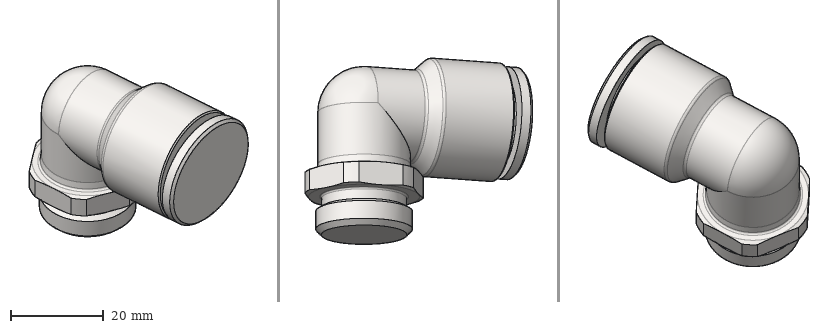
import cadquery as cq
import math


overall_length = 47

elbow_radius = 10.0

leg_bottom_z = -11.45
swivel_ring_z = -13.0
swivel_ring_radius = 10.25
swivel_flare = 0.45

hex_top_z = swivel_ring_z - swivel_flare
hex_height = 5.08
hex_bottom_z = hex_top_z - hex_height
hex_inradius = 12.0
hex_corner_radius = 12.95
hex_corner_chamfer_height = 0.3

thread_length = 8.4
thread_bottom_z = hex_bottom_z - thread_length
thread_radius = 10.45
thread_bottom_chamfer = 1.2
relief_radius = 9.15
relief_fillet = 0.38
relief_end_z = -21.05
thread_top_z = -21.8

socket_radius = 12.85
cone_start_x = 11.0
cone_end_x = 14.1
cone_fillet = 1.0
socket_end_x = 30.05
socket_edge_chamfer = 0.35

collar_stem_radius = 9.5
collar_start_x = 31.4
collar_end_x = overall_length - hex_corner_radius
collar_half_width = 13.5
collar_half_height = 12.1
collar_edge_chamfer = 0.6


def make_upright_leg():
    """Leg from the elbow centre to the hexagon, with the flared swivel ring."""
    profile = (
        cq.Workplane("XZ")
        .moveTo(0, 0)
        .lineTo(elbow_radius, 0)
        .lineTo(elbow_radius, leg_bottom_z)
        .lineTo(swivel_ring_radius, swivel_ring_z)
        .radiusArc((swivel_ring_radius + swivel_flare, hex_top_z), -swivel_flare)
        .lineTo(0, hex_top_z)
        .close()
    )
    return profile.revolve(360, (0, 0), (0, 1))


def make_hexagon():
    """Hexagon with flats facing +Y and -Y, its corners turned round and chamfered."""
    hexagon = (
        cq.Workplane("XY")
        .workplane(offset=hex_bottom_z)
        .polygon(6, 2 * hex_inradius / math.cos(math.pi / 6))
        .extrude(hex_height)
    )
    corner_chamfer_width = hex_corner_radius - hex_inradius
    turned_blank = (
        cq.Workplane("XY")
        .workplane(offset=hex_bottom_z)
        .circle(hex_corner_radius)
        .extrude(hex_height)
        .faces("<Z or >Z")
        .chamfer(hex_corner_chamfer_height, corner_chamfer_width)
    )
    return hexagon.intersect(turned_blank)


def make_threaded_end():
    """Thread envelope with a relief groove under the hexagon and a chamfered tip."""
    profile = (
        cq.Workplane("XZ")
        .moveTo(0, hex_bottom_z)
        .lineTo(relief_radius + relief_fillet, hex_bottom_z)
        .radiusArc((relief_radius, hex_bottom_z - relief_fillet), -relief_fillet)
        .lineTo(relief_radius, relief_end_z)
        .lineTo(thread_radius, thread_top_z)
        .lineTo(thread_radius, thread_bottom_z + thread_bottom_chamfer)
        .lineTo(thread_radius - thread_bottom_chamfer, thread_bottom_z)
        .lineTo(0, thread_bottom_z)
        .close()
    )
    return profile.revolve(360, (0, 0), (0, 1))


def make_tube_socket():
    """Horizontal neck that widens through a rounded cone to the socket, plus the collar stem."""
    cone_angle = math.atan2(socket_radius - elbow_radius, cone_end_x - cone_start_x)
    setback = cone_fillet * math.tan(cone_angle / 2)
    setback_x = setback * math.cos(cone_angle)
    setback_r = setback * math.sin(cone_angle)

    profile = (
        cq.Workplane("XZ")
        .moveTo(0, 0)
        .lineTo(0, elbow_radius)
        .lineTo(cone_start_x - setback, elbow_radius)
        .radiusArc((cone_start_x + setback_x, elbow_radius + setback_r), -cone_fillet)
        .lineTo(cone_end_x - setback_x, socket_radius - setback_r)
        .radiusArc((cone_end_x + setback, socket_radius), cone_fillet)
        .lineTo(socket_end_x - socket_edge_chamfer, socket_radius)
        .lineTo(socket_end_x, socket_radius - socket_edge_chamfer)
        .lineTo(socket_end_x, collar_stem_radius)
        .lineTo(collar_start_x, collar_stem_radius)
        .lineTo(collar_start_x, 0)
        .close()
    )
    return profile.revolve(360, (0, 0), (1, 0))


def make_release_collar():
    """Oval collar at the mouth of the socket, wider along Y than along Z."""
    return (
        cq.Workplane("YZ")
        .workplane(offset=collar_start_x)
        .ellipse(collar_half_width, collar_half_height)
        .extrude(collar_end_x - collar_start_x)
        .faces(">X")
        .chamfer(collar_edge_chamfer)
    )


elbow_dome = cq.Workplane("XY").sphere(elbow_radius)

result = (
    make_upright_leg()
    .union(make_tube_socket())
    .union(elbow_dome)
    .union(make_hexagon())
    .union(make_threaded_end())
    .union(make_release_collar())
)